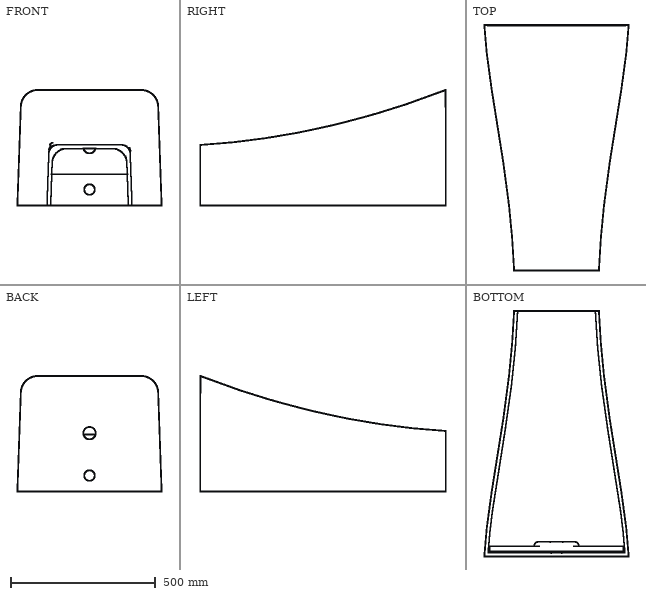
import cadquery as cq
import math

LENGTH = 850.0
FRONT_HEIGHT = 210.0
MID_HEIGHT = 270.0
BACK_HEIGHT = 400.0
WALL = 13.0
SIDE_DRAFT = 2.0

FLOOR_HALF_WIDTHS = [147.0, 163.0, 192.0, 226.0, 250.0]

FRONT_CORNER = 31.0
BACK_CORNER = 59.5
INNER_CORNER = 51.0

RIM_THICKNESS = 2.5
RIM_Y = LENGTH - RIM_THICKNESS
LOWER_PANEL_Y = LENGTH - WALL
LIP_DEPTH = 5.0
LIP_BOTTOM = 108.0
LIP_ROUND = 4.0
UPPER_PANEL_DEPTH = 22.0
UPPER_PANEL_Y = LOWER_PANEL_Y - UPPER_PANEL_DEPTH
UPPER_PANEL_BOTTOM = 118.0
UPPER_PANEL_ROUND = 16.0
LEDGE_FILLET = 4.0

PAD_BOTTOM = 133.0
PAD_BOTTOM_HALF_WIDTH = 68.0
PAD_TAPER = 4.5
PAD_CORNER = 25.5
PAD_HEIGHT = 16.0
PAD_EDGE_ROUND = 14.0
PAD_BASE_FILLET = 4.0

UPPER_HOLE_Z = 202.0
UPPER_HOLE_DIAMETER = 42.5
LOWER_HOLE_Z = 55.0
LOWER_HOLE_DIAMETER = 36.0


def roof_height(y):
    """Height of the parabolic roof line through the front, middle and back heights."""
    t = y / LENGTH
    bend = 2 * (FRONT_HEIGHT + BACK_HEIGHT - 2 * MID_HEIGHT)
    slope = BACK_HEIGHT - FRONT_HEIGHT - bend
    return FRONT_HEIGHT + slope * t + bend * t * t


def outer_corner(y):
    """Outside corner radius, growing evenly from front to back."""
    return FRONT_CORNER + (BACK_CORNER - FRONT_CORNER) * y / LENGTH


def inner_corner(y):
    """Corner radius of the cavity, the same at every y."""
    return INNER_CORNER


def arch(y, half_width, height, corner):
    """Closed arch outline across X at y: drafted sides, flat top, rounded upper corners."""
    draft = math.radians(SIDE_DRAFT)
    lean = math.tan(draft)
    center_z = height - corner
    center_x = half_width - center_z * lean - corner / math.cos(draft)
    side_x = center_x + corner * math.cos(draft)
    side_z = center_z + corner * math.sin(draft)
    mid_angle = (math.pi / 2 + draft) / 2
    mid_x = center_x + corner * math.cos(mid_angle)
    mid_z = center_z + corner * math.sin(mid_angle)
    return (
        cq.Workplane("XZ", origin=(0, y, 0))
        .moveTo(-half_width, 0)
        .lineTo(-side_x, side_z)
        .threePointArc((-mid_x, mid_z), (-center_x, height))
        .lineTo(center_x, height)
        .threePointArc((mid_x, mid_z), (side_x, side_z))
        .lineTo(half_width, 0)
        .close()
    )


def tunnel(inset, corner_at):
    """Solid flared tunnel, its sides and roof set inwards by inset."""
    step = RIM_Y / (len(FLOOR_HALF_WIDTHS) - 1)
    sections = []
    for index, half_width in enumerate(FLOOR_HALF_WIDTHS):
        y = index * step
        section = arch(y, half_width - inset, roof_height(y) - inset, corner_at(y))
        sections.append(section.val())
    return cq.Workplane(cq.Solid.makeLoft(sections))


def stepped_wall(envelope):
    """Stepped back wall, cut to the inside of the envelope."""
    lip_y = LOWER_PANEL_Y - LIP_DEPTH
    profile = [
        (RIM_Y, 0),
        (LOWER_PANEL_Y, 0),
        (LOWER_PANEL_Y, LIP_BOTTOM),
        (lip_y, LIP_BOTTOM),
        (lip_y, UPPER_PANEL_BOTTOM),
        (UPPER_PANEL_Y, UPPER_PANEL_BOTTOM),
        (UPPER_PANEL_Y, BACK_HEIGHT),
        (RIM_Y, BACK_HEIGHT),
    ]
    wall = cq.Workplane("YZ").polyline(profile).close().extrude(max(FLOOR_HALF_WIDTHS), both=True)
    rounded_edges = [
        (lip_y, LIP_BOTTOM, LIP_ROUND),
        (lip_y, UPPER_PANEL_BOTTOM, LEDGE_FILLET),
        (UPPER_PANEL_Y, UPPER_PANEL_BOTTOM, UPPER_PANEL_ROUND),
    ]
    for y, z, radius in rounded_edges:
        wall = wall.edges(cq.NearestToPointSelector((0, y, z))).fillet(radius)
    return wall.intersect(envelope)


def add_pad(wall):
    """Wall with a rounded pad standing forward of its upper panel, centred in height on the upper hole."""
    pad_top = 2 * UPPER_HOLE_Z - PAD_BOTTOM
    top_half_width = PAD_BOTTOM_HALF_WIDTH + (pad_top - PAD_BOTTOM) * math.tan(math.radians(PAD_TAPER))
    front_y = UPPER_PANEL_Y - PAD_HEIGHT
    outline = [
        (-PAD_BOTTOM_HALF_WIDTH, PAD_BOTTOM),
        (PAD_BOTTOM_HALF_WIDTH, PAD_BOTTOM),
        (top_half_width, pad_top),
        (-top_half_width, pad_top),
    ]
    pad = (
        cq.Workplane("XZ", origin=(0, RIM_Y, 0))
        .polyline(outline)
        .close()
        .extrude(RIM_Y - front_y)
        .edges("|Y")
        .fillet(PAD_CORNER)
        .faces("<Y")
        .edges()
        .fillet(PAD_EDGE_ROUND)
    )
    margin = PAD_BASE_FILLET / 2
    foot = cq.selectors.BoxSelector(
        (-top_half_width, UPPER_PANEL_Y - margin, PAD_BOTTOM - margin),
        (top_half_width, UPPER_PANEL_Y + margin, pad_top + margin),
    )
    return wall.union(pad).edges(foot).fillet(PAD_BASE_FILLET)


def back_hole(z, diameter):
    """Cutter running forward through the full thickness of the back wall."""
    depth = WALL + UPPER_PANEL_DEPTH + PAD_HEIGHT
    return cq.Workplane("XZ", origin=(0, LENGTH, z)).circle(diameter / 2).extrude(depth)


envelope = tunnel(0, outer_corner)
cavity = tunnel(WALL, inner_corner)
rim = arch(LENGTH, FLOOR_HALF_WIDTHS[-1], BACK_HEIGHT, BACK_CORNER).extrude(RIM_THICKNESS)

shell = envelope.cut(cavity)
wall = add_pad(stepped_wall(envelope))
upper_hole = back_hole(UPPER_HOLE_Z, UPPER_HOLE_DIAMETER)
lower_hole = back_hole(LOWER_HOLE_Z, LOWER_HOLE_DIAMETER)

result = shell.union(wall).union(rim).cut(upper_hole).cut(lower_hole)